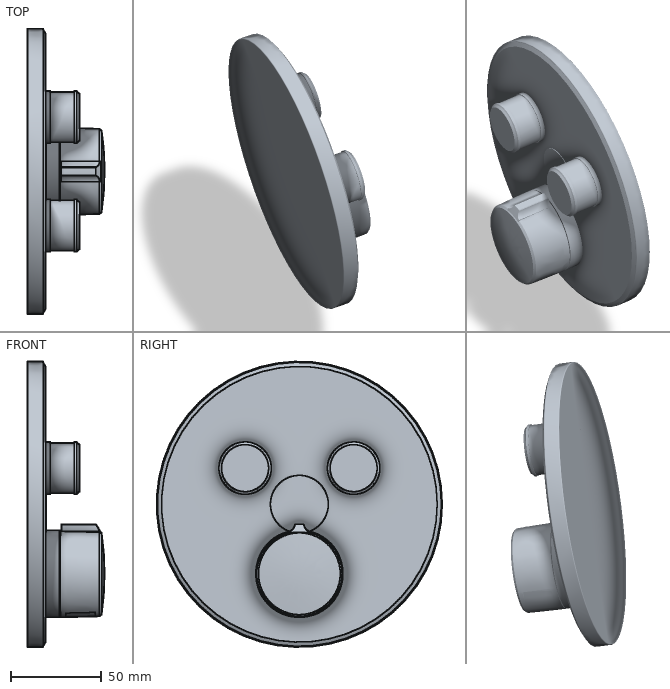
import cadquery as cq
import math


plate_radius = 79.0
plate_rim_thickness = 8.8
plate_back_fillet = 0.5
plate_rim_fillet = 0.5
plate_face_radius = 76.2
plate_thickness = 10.1
boss_radius = 16.0
boss_height = 0.4

button_spread = 60.0
button_z = 20.0
button_centres = [(side * button_spread / 2, button_z) for side in (-1, 1)]
stem_radius = 20.0 / 2
button_ring_radius = 29.0 / 2
button_body_radius = 27.98 / 2
button_crown_radius = 27.75 / 2
button_face_radius = 13.0
button_ring_end = 12.6
button_rim_start = 25.9
button_rim_end = 27.3
button_crown_start = 27.8
button_length = 28.9

handle_z = -38.4
collar_radius = 48.18 / 2
collar_end = 17.8
neck_radius = 42.1 / 2
grip_start = 18.3
grip_end = 39.9
grip_back_radius = collar_radius
grip_front_radius = 23.6
grip_bulge = 0.1
handle_face_radius = 45.2 / 2
handle_face_edge_x = 41.15
handle_length = 42.82

lever_height = 27.45
lever_top_half_width = 2.5
lever_root_half_width = 5.7
lever_flank_bow = 0.5
lever_back_x = 18.8
lever_top_end_x = 37.9
lever_front_end_x = 40.6
lever_edge_bevel = 0.45
lever_back_fillet = 0.3

safety_start = 21.3
safety_end = 37.6
safety_half_width = 10.3
safety_block_height = 4.5
safety_corner_radius = 1.0


def turned(profile):
    """Close a profile drawn as (x, radius) and turn it about the X axis."""
    return profile.close().revolve(360, (0, 0, 0), (1, 0, 0))


def make_plate():
    """Disc with rounded edges, a sloping rim, a low central boss and two stem holes."""
    rim_fillet_middle = plate_rim_fillet * math.sqrt(0.5)
    back_fillet_middle = plate_back_fillet * (1 - math.sqrt(0.5))
    plate = turned(
        cq.Workplane("XY")
        .lineTo(0, plate_radius - plate_back_fillet)
        .threePointArc(
            (back_fillet_middle, plate_radius - back_fillet_middle),
            (plate_back_fillet, plate_radius),
        )
        .lineTo(plate_rim_thickness - plate_rim_fillet, plate_radius)
        .threePointArc(
            (
                plate_rim_thickness - plate_rim_fillet + rim_fillet_middle,
                plate_radius - plate_rim_fillet + rim_fillet_middle,
            ),
            (plate_rim_thickness, plate_radius - plate_rim_fillet),
        )
        .lineTo(plate_thickness, plate_face_radius)
        .lineTo(plate_thickness, boss_radius)
        .lineTo(plate_thickness + boss_height, boss_radius)
        .lineTo(plate_thickness + boss_height, 0)
    )
    for y, z in button_centres:
        hole = cq.Workplane("YZ").center(y, z).circle(stem_radius).extrude(plate_thickness)
        plate = plate.cut(hole)
    return plate


def make_button(y, z):
    """Push button with a stem through the plate; its ring rests on the plate's face."""
    button = turned(
        cq.Workplane("XY")
        .lineTo(0, stem_radius)
        .lineTo(plate_thickness, stem_radius)
        .lineTo(plate_thickness, button_ring_radius)
        .lineTo(button_ring_end, button_ring_radius)
        .lineTo(button_ring_end, button_body_radius)
        .lineTo(button_rim_start, button_body_radius)
        .lineTo(button_rim_start, button_ring_radius)
        .lineTo(button_rim_end, button_ring_radius)
        .lineTo(button_crown_start, button_crown_radius)
        .lineTo(button_length, button_face_radius)
        .lineTo(button_length, 0)
    )
    return button.translate((0, y, z))


def make_collar(plate):
    """Plain round collar notched at the back where it overlaps the plate's boss."""
    collar = cq.Workplane("YZ", origin=(plate_thickness, 0, handle_z)).circle(collar_radius)
    return collar.extrude(collar_end - plate_thickness).cut(plate)


def make_handle_core():
    """Barrel-shaped grip on a short neck, with a bevelled front edge and a domed face."""
    face_rise = handle_length - handle_face_edge_x
    dome_radius = (handle_face_radius**2 + face_rise**2) / (2 * face_rise)
    half_radius = handle_face_radius / 2
    half_x = handle_length - dome_radius + math.sqrt(dome_radius**2 - half_radius**2)
    grip_middle_x = (grip_start + grip_end) / 2
    grip_middle_radius = (grip_back_radius + grip_front_radius) / 2 + grip_bulge
    return turned(
        cq.Workplane("XY")
        .moveTo(collar_end, 0)
        .lineTo(collar_end, neck_radius)
        .lineTo(grip_start, neck_radius)
        .lineTo(grip_start, grip_back_radius)
        .threePointArc((grip_middle_x, grip_middle_radius), (grip_end, grip_front_radius))
        .lineTo(handle_face_edge_x, handle_face_radius)
        .threePointArc((half_x, half_radius), (handle_length, 0))
    )


def make_lever():
    """Rib with hollow flanks and a crowned top, its front sloping down to the grip's bevel."""
    root_height = math.sqrt(grip_back_radius**2 - lever_root_half_width**2)
    top_shoulder = lever_height - lever_edge_bevel
    top_edge = lever_top_half_width - lever_edge_bevel
    bow_y = (lever_top_half_width + lever_root_half_width) / 2 - lever_flank_bow
    bow_z = (top_shoulder + root_height) / 2 - lever_flank_bow
    rib = (
        cq.Workplane("YZ", origin=(lever_back_x, 0, 0))
        .moveTo(-lever_root_half_width, 0)
        .lineTo(-lever_root_half_width, root_height)
        .threePointArc((-bow_y, bow_z), (-lever_top_half_width, top_shoulder))
        .lineTo(-top_edge, lever_height)
        .lineTo(top_edge, lever_height)
        .lineTo(lever_top_half_width, top_shoulder)
        .threePointArc((bow_y, bow_z), (lever_root_half_width, root_height))
        .lineTo(lever_root_half_width, 0)
        .close()
        .extrude(lever_front_end_x - lever_back_x)
    )
    bevel_share = (lever_front_end_x - grip_end) / (handle_face_edge_x - grip_end)
    front_end_radius = grip_front_radius + bevel_share * (handle_face_radius - grip_front_radius)
    envelope = turned(
        cq.Workplane("XY")
        .moveTo(lever_back_x, 0)
        .lineTo(lever_back_x, lever_height)
        .lineTo(lever_top_end_x, lever_height)
        .lineTo(lever_front_end_x, front_end_radius)
        .lineTo(lever_front_end_x, 0)
    )
    lever = rib.intersect(envelope)
    return lever.faces("<X").edges(">Z").fillet(lever_back_fillet)


def make_safety_block():
    """Rounded rectangle reaching up into the underside of the grip."""
    length = safety_end - safety_start
    return (
        cq.Workplane("XY", origin=((safety_start + safety_end) / 2, 0, -collar_radius - grip_bulge))
        .rect(length, 2 * safety_half_width)
        .extrude(safety_block_height)
        .edges("|Z")
        .fillet(safety_corner_radius)
    )


def make_handle():
    handle = make_handle_core().union(make_lever()).cut(make_safety_block())
    return handle.translate((0, 0, handle_z))


def make_safety_button():
    return make_handle_core().intersect(make_safety_block()).translate((0, 0, handle_z))


plate = make_plate()
buttons = [make_button(y, z) for y, z in button_centres]
collar = make_collar(plate)
handle = make_handle()
safety_button = make_safety_button()

result = cq.Compound.makeCompound(
    [
        plate.val(),
        *[button.val() for button in buttons],
        collar.val(),
        handle.val(),
        safety_button.val(),
    ]
)